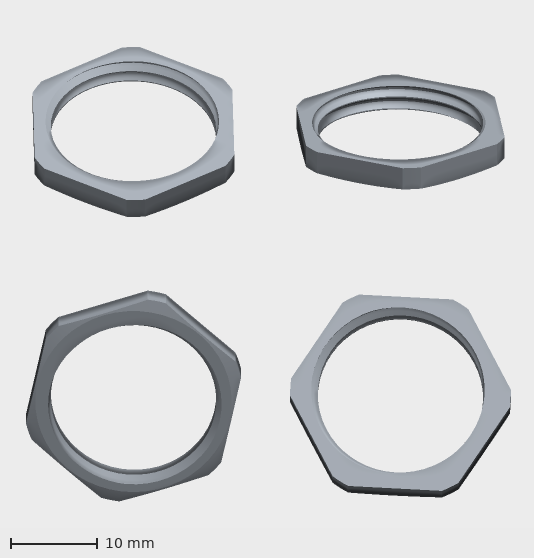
import cadquery as cq
import math

height = 3.0
across_flats = 23.0
corner_diameter = 25.4

chamfer_inner_radius = 11.3
chamfer_height = 0.3

minor_radius = 9.53
major_radius = 10.35
pitch = 1.5
root_width = 0.25
crest_width = 0.13
crest_angle = -8.0
root_overlap = 0.05
turns_below = 4
turns_above = 2


def hex_blank():
    """Hexagonal prism with corners on +Y and -Y, turned down to the corner diameter."""
    hexagon = (
        cq.Workplane("XY")
        .polygon(6, across_flats / math.cos(math.pi / 6))
        .extrude(height)
        .rotate((0, 0, 0), (0, 0, 1), 30)
    )
    corner_radius = corner_diameter / 2
    turned_envelope = (
        cq.Workplane("XZ")
        .moveTo(0, 0)
        .lineTo(chamfer_inner_radius, 0)
        .lineTo(corner_radius, chamfer_height)
        .lineTo(corner_radius, height)
        .lineTo(0, height)
        .close()
        .revolve(360, (0, 0, 0), (0, 1, 0))
    )
    return hexagon.intersect(turned_envelope)


def thread_ridge():
    """Trapezoidal helical ridge, cut flush with both faces."""
    start_z = height - turns_below * pitch
    length = (turns_below + turns_above) * pitch

    crest_half = crest_width / 2
    foot_half = (pitch - root_width) / 2
    flank_slope = (foot_half - crest_half) / (major_radius - minor_radius)
    buried_half = foot_half + flank_slope * root_overlap
    buried_radius = major_radius + root_overlap

    path = cq.Wire.makeHelix(pitch, length, minor_radius).translate(cq.Vector(0, 0, start_z))
    ridge = (
        cq.Workplane("XZ")
        .moveTo(minor_radius, start_z - crest_half)
        .lineTo(buried_radius, start_z - buried_half)
        .lineTo(buried_radius, start_z + buried_half)
        .lineTo(minor_radius, start_z + crest_half)
        .close()
        .sweep(cq.Workplane(path), isFrenet=True)
        .rotate((0, 0, 0), (0, 0, 1), crest_angle)
    )
    slab = cq.Workplane("XY").circle(across_flats / 2).extrude(height)
    return ridge.intersect(slab)


bore = cq.Workplane("XY").circle(major_radius).extrude(height)

result = hex_blank().cut(bore).union(thread_ridge())